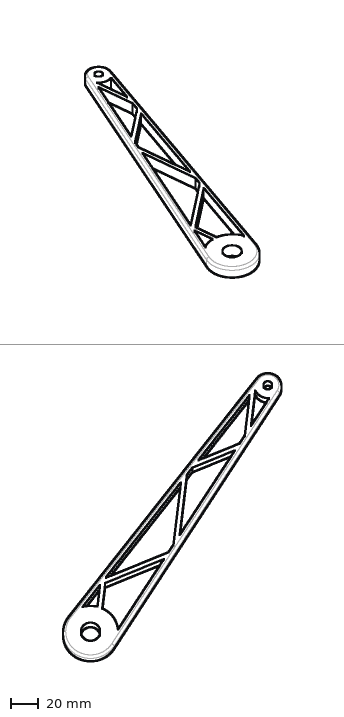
import cadquery as cq
import math

overall_length = 260.0
thickness = 10.0
large_radius = 20.0
small_radius = large_radius / 2
small_bore = 6.2
large_bore = 14.0
edge_fillet = 2.0
rail_width = 2 * edge_fillet
strut_width = 3.6
rising_angle = 27.5
falling_angle = -32.5

struts = [
    (22.5, rising_angle),
    (65.0, falling_angle),
    (113.3, rising_angle),
    (170.3, falling_angle),
    (220.2, rising_angle),
]

eye_distance = overall_length - small_radius - large_radius
strut_length = 6 * large_radius


def tapered_plate(start_radius, end_radius):
    """Plate bounded by two end arcs and their common tangent lines."""
    taper_sine = (end_radius - start_radius) / eye_distance
    taper_cosine = math.sqrt(1 - taper_sine**2)
    start_x = -start_radius * taper_sine
    start_y = start_radius * taper_cosine
    end_x = eye_distance - end_radius * taper_sine
    end_y = end_radius * taper_cosine
    return (
        cq.Workplane("XY")
        .moveTo(start_x, start_y)
        .lineTo(end_x, end_y)
        .threePointArc((eye_distance + end_radius, 0), (end_x, -end_y))
        .lineTo(start_x, -start_y)
        .threePointArc((-start_radius, 0), (start_x, start_y))
        .close()
        .extrude(thickness)
    )


def disc(x, radius):
    """Full-thickness cylinder on the arm's centreline."""
    return cq.Workplane("XY").center(x, 0).circle(radius).extrude(thickness)


def strut(crossing_x, angle):
    """Full-thickness diagonal bar through a point on the centreline."""
    return (
        cq.Workplane("XY")
        .transformed(offset=(crossing_x, 0, 0), rotate=(0, 0, angle))
        .rect(strut_length, strut_width)
        .extrude(thickness)
    )


arm = tapered_plate(small_radius, large_radius).faces("|Z").edges().fillet(edge_fillet)

openings = tapered_plate(small_radius - rail_width, large_radius - rail_width)
openings = openings.cut(disc(0, small_radius)).cut(disc(eye_distance, large_radius))
for crossing_x, angle in struts:
    openings = openings.cut(strut(crossing_x, angle))
arm = arm.cut(openings)

arm = arm.cut(disc(0, small_bore / 2))
result = arm.cut(disc(eye_distance, large_bore / 2))